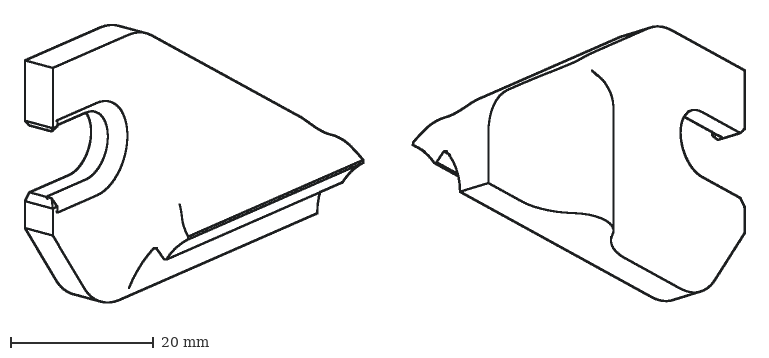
import cadquery as cq
import math

length = 60.0
height = 39.0
thickness = 5.0
boss_height = 5.5
rib_height = 8.4
plate_back = boss_height
plate_front = plate_back + thickness
rib_tip = plate_front + rib_height

corner_radius = 10.0
top_length = 20.0
far_edge_height = 13.0
near_bevel_length = 10.0
near_bevel_height = 14.0

slot_radius = 5.0
slot_center_y = 10.0
slot_center_z = 24.0
mouth_chamfer = 1.0
recess_depth = 2.0
recess_growth = 0.9

boss_y = 40.1
boss_z = 18.8
boss_crown_radius = 6.0
boss_blend_radius = 10.0

rib_start_y = 20.0
rib_top = 13.1
rib_edge_radius = 3.6
rib_root_radius = 3.5
rib_crown_start = 14.45
rib_tip_top = 9.95
rib_tip_bottom = 9.55
underside_radius = 11.1
groove_end_x = 13.3
groove_top = 6.95
heel_x = 14.6
heel_width = 0.4
heel_z = 5.65
flank_hollow = 0.3


def prism(x_start, x_end):
    """Plate outline with rounded corners, extruded between two X positions."""
    outline = (
        cq.Workplane("YZ", origin=(x_start, 0, 0))
        .moveTo(near_bevel_length, 0)
        .lineTo(length, 0)
        .lineTo(length, far_edge_height)
        .lineTo(top_length, height)
        .lineTo(0, height)
        .lineTo(0, near_bevel_height)
        .close()
        .extrude(x_end - x_start)
    )
    rounded_corners = (
        (near_bevel_length, 0),
        (length, far_edge_height),
        (top_length, height),
    )
    middle = (x_start + x_end) / 2
    for y, z in rounded_corners:
        corner = cq.selectors.NearestToPointSelector((middle, y, z))
        outline = outline.edges("|X").edges(corner).fillet(corner_radius)
    return outline


def slot_prism(x_start, depth, radius, start_y, taper=0):
    """Slot with a round inner end, optionally widening along X."""
    return (
        cq.Workplane("YZ", origin=(x_start, 0, 0))
        .moveTo(start_y, slot_center_z - radius)
        .lineTo(slot_center_y, slot_center_z - radius)
        .threePointArc(
            (slot_center_y + radius, slot_center_z),
            (slot_center_y, slot_center_z + radius),
        )
        .lineTo(start_y, slot_center_z + radius)
        .close()
        .extrude(depth, taper=-taper)
    )


def slot_cutter():
    outside = -2 * slot_radius
    cutter = slot_prism(0, plate_front, slot_radius, outside)
    rim_x = plate_front - mouth_chamfer
    cutter = cutter.union(slot_prism(rim_x, mouth_chamfer, slot_radius, outside, 45))

    mouth = (
        cq.Workplane("YZ", origin=(plate_back, 0, 0))
        .moveTo(0, slot_center_z - slot_radius - mouth_chamfer)
        .lineTo(mouth_chamfer, slot_center_z - slot_radius)
        .lineTo(mouth_chamfer, slot_center_z + slot_radius)
        .lineTo(0, slot_center_z + slot_radius + mouth_chamfer)
        .close()
        .extrude(thickness)
    )
    cutter = cutter.union(mouth)

    recess_wall = recess_depth - mouth_chamfer
    recess_taper = math.degrees(math.atan2(recess_growth, recess_wall))
    recess = slot_prism(
        plate_front - recess_depth, recess_wall, slot_radius, mouth_chamfer, recess_taper
    )
    recess = recess.union(
        slot_prism(rim_x, mouth_chamfer, slot_radius + recess_growth, mouth_chamfer, 45)
    )
    behind_mouth = cq.Workplane("XY").box(rib_tip, length, height, centered=False)
    behind_mouth = behind_mouth.translate((0, mouth_chamfer, 0))
    return cutter.union(recess.intersect(behind_mouth))


def boss():
    """Upright ridge topped by a dome of the same profile."""
    radius_sum = boss_crown_radius + boss_blend_radius
    angle = math.acos(1 - boss_height / radius_sum)
    half_width = radius_sum * math.sin(angle)

    def crown_point(turn):
        return (
            boss_crown_radius * (1 - math.cos(turn)),
            boss_crown_radius * math.sin(turn),
        )

    def blend_point(turn):
        return (
            boss_height - boss_blend_radius * (1 - math.cos(turn)),
            half_width - boss_blend_radius * math.sin(turn),
        )

    half_profile = (
        cq.Workplane("XY", origin=(0, boss_y, 0))
        .threePointArc(crown_point(angle / 2), crown_point(angle))
        .threePointArc(blend_point(angle / 2), (boss_height, half_width))
        .lineTo(plate_front, half_width)
        .lineTo(plate_front, 0)
        .close()
        .val()
    )
    half_ridge = cq.Workplane("XY").add(half_profile).toPending().extrude(boss_z)
    ridge = half_ridge.union(half_ridge.mirror("XZ", (0, boss_y, 0)))
    dome = cq.Workplane("XY").add(half_profile).toPending()
    dome = dome.revolve(360, (0, boss_y, 0), (1, boss_y, 0)).translate((0, 0, boss_z))
    return ridge.union(dome).intersect(prism(0, plate_front))


def rib_crown_cutter():
    """Removes the material above the rounded, then 45 degree, top of the rib."""
    diagonal = rib_edge_radius * math.sqrt(0.5)
    half_angle = math.radians(22.5)
    center_z = rib_top - rib_edge_radius
    return (
        cq.Workplane("XZ")
        .moveTo(rib_crown_start, rib_top)
        .threePointArc(
            (
                rib_crown_start + rib_edge_radius * math.sin(half_angle),
                center_z + rib_edge_radius * math.cos(half_angle),
            ),
            (rib_crown_start + diagonal, center_z + diagonal),
        )
        .lineTo(rib_tip, rib_tip_top)
        .lineTo(rib_tip, height)
        .lineTo(rib_crown_start, height)
        .close()
        .extrude(-length)
    )


def rib_underside_cutter():
    """Removes the material below the concave root, the groove, the heel and the hollow flank."""
    def root_x(z):
        return plate_front + underside_radius - math.sqrt(underside_radius**2 - z**2)

    return (
        cq.Workplane("XZ")
        .moveTo(plate_front, 0)
        .threePointArc((root_x(groove_top / 2), groove_top / 2), (root_x(groove_top), groove_top))
        .lineTo(groove_end_x, groove_top)
        .lineTo(heel_x, heel_z)
        .lineTo(heel_x + heel_width, heel_z)
        .sagittaArc((rib_tip, rib_tip_bottom), flank_hollow)
        .lineTo(rib_tip, 0)
        .close()
        .extrude(-length)
    )


def plate_with_rib():
    run = 2 * length
    wall = cq.Workplane("XY", origin=(plate_back, 0, 0)).box(
        thickness, run, height, centered=False
    )
    rib = (
        cq.Workplane("XY", origin=(plate_back, rib_start_y, 0))
        .box(rib_tip - plate_back, run - rib_start_y, rib_top, centered=False)
        .edges("<Y and >Z")
        .fillet(rib_edge_radius)
    )
    margin = 0.05
    root_edges = cq.selectors.BoxSelector(
        (plate_front - margin, rib_start_y - margin, -margin),
        (plate_front + margin, run, rib_top + margin),
    )
    body = wall.union(rib).edges(root_edges).edges("not(<Z)").fillet(rib_root_radius)
    body = body.cut(rib_crown_cutter()).cut(rib_underside_cutter())
    return body.intersect(prism(plate_back, rib_tip))


result = plate_with_rib().union(boss()).cut(slot_cutter())